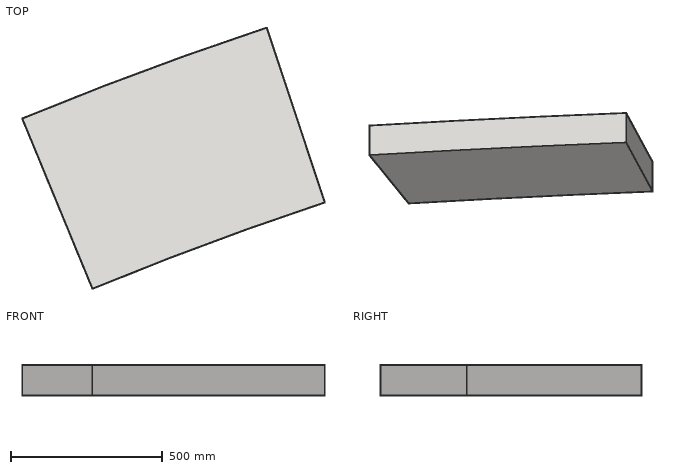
import cadquery as cq
import math

INCH = 25.4
outer_radius = 480 * INCH
width = 24 * INCH
outer_arc_length = 863.48
thickness = 4 * INCH
inner_radius = outer_radius - width

left_end_angle = math.radians(22.421)
sweep_angle = outer_arc_length / outer_radius
right_end_angle = left_end_angle - sweep_angle
middle_angle = (left_end_angle + right_end_angle) / 2


def direction_from_centre(angle):
    """Unit vector from the arc centre at the given angle."""
    return cq.Vector(-math.sin(angle), math.cos(angle))


middle_radius = outer_radius - width / 2
arc_centre = direction_from_centre(middle_angle) * -middle_radius


def point_on_arc(radius, angle):
    """Point in the base plane on the arc of the given radius."""
    return (arc_centre + direction_from_centre(angle) * radius).toTuple()[:2]


def make_slab():
    """Extrude the outline of two concentric arcs joined by radial ends."""
    return (
        cq.Workplane("XY")
        .moveTo(*point_on_arc(outer_radius, left_end_angle))
        .threePointArc(
            point_on_arc(outer_radius, middle_angle),
            point_on_arc(outer_radius, right_end_angle),
        )
        .lineTo(*point_on_arc(inner_radius, right_end_angle))
        .threePointArc(
            point_on_arc(inner_radius, middle_angle),
            point_on_arc(inner_radius, left_end_angle),
        )
        .close()
        .extrude(thickness)
    )


result = make_slab()